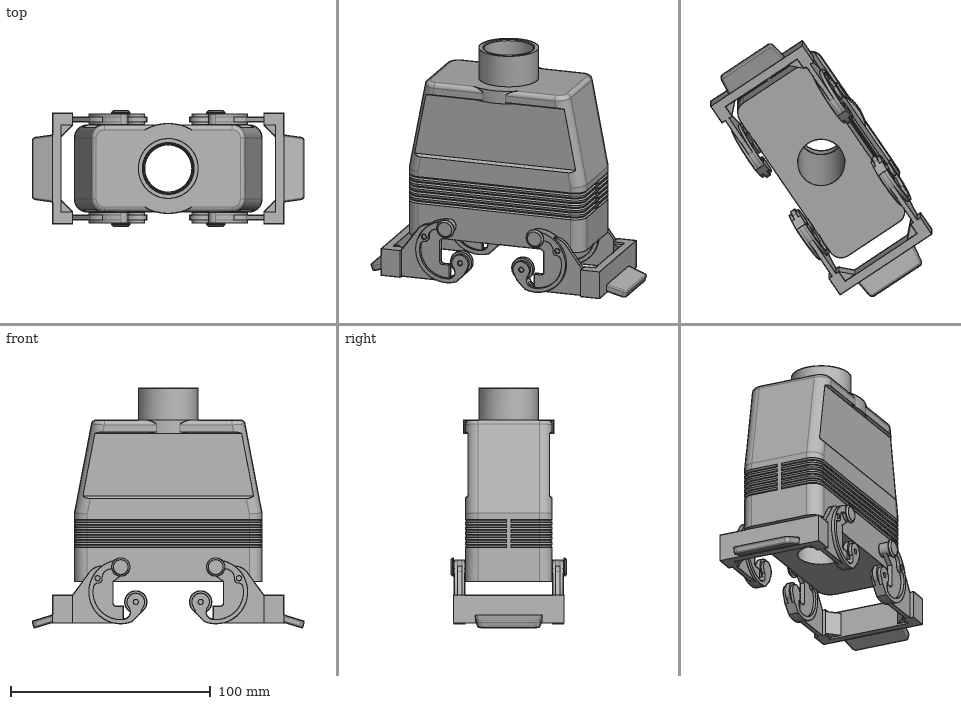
import math

import cadquery as cq

HOOD_HALF_X = 47.0
HOOD_HALF_Y = 21.8
HOOD_TOP_Z = 81.0
SHOULDER_Z = 34.5
TOP_HALF_X = 38.1
CORNER_RADIUS = 6.4
TOP_EDGE_RADIUS = 2.4

PANEL_HALF_Y = 20.5
PANEL_BOTTOM_Z = 43.0
PANEL_TOP_Z = 74.4
PANEL_TOP_SLOPE_HEIGHT = 0.7

PAD_RADIUS = 22.6
ENTRY_RADIUS = 15.0
ENTRY_TOP_Z = 97.0
BORE_RADIUS = 12.5
THROUGH_RADIUS = 11.8
BORE_FLOOR_Z = 85.4
BORE_CONE_HEIGHT = 2.7
BORE_CHAMFER = 0.5

GROOVE_COUNT = 6
GROOVE_PITCH = 2.5
GROOVE_WIDTH = 1.6
GROOVE_DEPTH = GROOVE_WIDTH / 2
LOWEST_GROOVE_Z = 17.95
CHAMFER_CLEARANCE = 0.01
GROOVE_GAP_HALF_Y = 1.25

PIVOT = (-23.8, 7.35)
PIVOT_RADIUS = 3.55
CAM_RADIUS = 16.0
CAM_CENTER = (PIVOT[0], PIVOT[1] + PIVOT_RADIUS - CAM_RADIUS)
RIM_INNER_RADIUS = 13.9
HOOK = (-16.25, -10.15)
HOOK_RADIUS = 5.6
HOOK_RIM_RADIUS = 4.4
HOOK_FLANK_ANGLE = -45.0
PLATE_INNER_Y = 23.35
PLATE_OUTER_Y = 25.7
RIM_INNER_Y = 22.0
RIM_OUTER_Y = 27.4
WINDOW_LEFT_X = -27.6
WINDOW_FLOOR_Z = -12.25
WINDOW_CORNER_RADIUS = 1.4
SLOT_LEFT_X = -22.55
SLOT_BOTTOM_Z = -18.5
DIMPLE_RADIUS = 1.3
DIMPLE_DEPTH = 1.0
UPPER_DIMPLE = (-35.4, 1.75)
SHOULDER_START = (-39.2, 5.2)
SHOULDER_MID = (-37.0, 6.9)
CAM_START_ANGLE = 125.0
NECK_ANGLE = -54.0
SLOT_SIDE = (-19.5, -17.0)
SLOT_TIP_ANGLE = -119.0
HOOK_RIM_START_ANGLE = -25.0
HOOK_RIM_END_ANGLE = 225.0
RIM_FLANK_SETBACK = 0.3
RIM_INNER_END_ANGLE = 172.0
BEND_INTO_LOBE = ((-36.9, -1.5), (-35.2, -0.6))
DIMPLE_LOBE = ((-33.7, -0.1), (-33.1, 1.2))
BEND_TO_PIVOT = ((-31.9, 5.0), (-28.7, 6.4))

RIVET_HEAD_RADIUS = 4.6
RIVET_HEAD_CHAMFER = 0.9
RIVET_HEAD_INNER_Y = 27.8
RIVET_OUTER_Y = 29.0
RIVET_SHANK_RADIUS = 2.75
RIVET_EMBED = 2.0

BRACKET_OUTER_X = -58.0
BRACKET_INNER_X = -47.9
BRACKET_HALF_Y = 27.7
BRACKET_TOP_Z = -6.7
BRACKET_BOTTOM_Z = -20.75
BAR_THICKNESS = 4.3
BAR_INNER_X = BRACKET_OUTER_X + BAR_THICKNESS
ARM_THICKNESS = 6.0
GUSSET_SETBACK = 1.0
TAB_TIP_X = -68.145
TAB_BOTTOM_Z = -23.08
TAB_TILT = 17.0
TAB_THICKNESS = 3.6
TAB_LENGTH = 12.0
TAB_ROOT_END_X = BRACKET_OUTER_X + BAR_THICKNESS / 2
TAB_ROOT_HALF_Y = 17.0
TAB_TIP_HALF_Y = 15.4
TAB_CORNER_RADIUS = 2.0
TAB_EDGE_RADIUS = 0.7


def polar(center, radius, degrees):
    angle = math.radians(degrees)
    return (center[0] + radius * math.cos(angle), center[1] + radius * math.sin(angle))


def direction(center, point):
    return math.degrees(math.atan2(point[1] - center[1], point[0] - center[0]))


def extrude_y(profile, y_inner, y_outer):
    """Extrude an XZ profile between two distances from the XZ plane, on the -Y side."""
    return profile.extrude(y_outer - y_inner).translate((0, -y_inner, 0))


def cylinder_y(center, radius, y_inner, y_outer):
    return extrude_y(cq.Workplane("XZ").center(*center).circle(radius), y_inner, y_outer)


def hood_body():
    outline = [
        (-HOOD_HALF_X, 0),
        (HOOD_HALF_X, 0),
        (HOOD_HALF_X, SHOULDER_Z),
        (TOP_HALF_X, HOOD_TOP_Z),
        (-TOP_HALF_X, HOOD_TOP_Z),
        (-HOOD_HALF_X, SHOULDER_Z),
    ]
    body = cq.Workplane("XZ").polyline(outline).close().extrude(HOOD_HALF_Y, both=True)
    corners = body.faces("<Y or >Y").edges("not #Z")
    body = corners.edges("not |X").fillet(CORNER_RADIUS)
    return body.faces(">Z").edges().fillet(TOP_EDGE_RADIUS)


def panel_recess():
    """Cutter for the -Y panel, with a narrow ledge above the flat and a 45 degree slope below."""
    depth = HOOD_HALF_Y - PANEL_HALF_Y
    slope_top_z = PANEL_TOP_Z + PANEL_TOP_SLOPE_HEIGHT
    slope_bottom_z = PANEL_BOTTOM_Z - depth
    profile = [
        (-PANEL_HALF_Y, PANEL_BOTTOM_Z),
        (-HOOD_HALF_Y, slope_bottom_z),
        (-HOOD_HALF_Y - depth, slope_bottom_z),
        (-HOOD_HALF_Y - depth, slope_top_z),
        (-HOOD_HALF_Y, slope_top_z),
        (-PANEL_HALF_Y, PANEL_TOP_Z),
    ]
    return cq.Workplane("YZ").polyline(profile).close().extrude(HOOD_HALF_X, both=True)


def hood_section(z):
    """Solid block with the hood's rounded plan, one groove depth high, standing on height z."""
    plan = cq.Workplane("XY", origin=(0, 0, z)).rect(2 * HOOD_HALF_X, 2 * HOOD_HALF_Y)
    return plan.extrude(GROOVE_DEPTH).edges("|Z").fillet(CORNER_RADIUS)


def groove(z_center):
    """V groove cutter: the hood's rounded plan minus a core with its waist at mid-height."""
    upper = hood_section(z_center)
    upper_core = upper.faces("<Z").chamfer(GROOVE_DEPTH - CHAMFER_CLEARANCE)
    ring = upper.cut(upper_core)
    ring = ring.union(ring.mirror("XY", (0, 0, z_center)))
    gap = cq.Workplane("XY").box(2 * HOOD_HALF_X, 2 * GROOVE_GAP_HALF_Y, GROOVE_WIDTH)
    return ring.cut(gap.translate((0, 0, z_center)))


def cable_bore():
    cone_bottom_z = BORE_FLOOR_Z - BORE_CONE_HEIGHT
    half_section = [
        (0, 0),
        (THROUGH_RADIUS, 0),
        (THROUGH_RADIUS, cone_bottom_z),
        (BORE_RADIUS, BORE_FLOOR_Z),
        (BORE_RADIUS, ENTRY_TOP_Z - BORE_CHAMFER),
        (BORE_RADIUS + BORE_CHAMFER, ENTRY_TOP_Z),
        (0, ENTRY_TOP_Z),
    ]
    return cq.Workplane("XZ").polyline(half_section).close().revolve(360, (0, 0), (0, 1))


def make_hood():
    hood = hood_body()
    recess = panel_recess()
    hood = hood.cut(recess).cut(recess.mirror("XZ"))
    for index in range(GROOVE_COUNT):
        hood = hood.cut(groove(LOWEST_GROOVE_Z + index * GROOVE_PITCH))
    pad = cq.Workplane("XY", origin=(0, 0, PANEL_TOP_Z)).circle(PAD_RADIUS)
    entry = cq.Workplane("XY", origin=(0, 0, PANEL_TOP_Z)).circle(ENTRY_RADIUS)
    hood = hood.union(pad.extrude(HOOD_TOP_Z - PANEL_TOP_Z))
    hood = hood.union(entry.extrude(ENTRY_TOP_Z - PANEL_TOP_Z))
    return hood.cut(cable_bore())


PIVOT_TOP = polar(PIVOT, PIVOT_RADIUS, 90)
CAM_BOTTOM = polar(CAM_CENTER, CAM_RADIUS, -90)
FLANK_TOP = polar(HOOK, HOOK_RADIUS, HOOK_FLANK_ANGLE)
FLANK_NORMAL = polar((0, 0), 1, HOOK_FLANK_ANGLE)
FLANK_OFFSET = (
    (FLANK_TOP[0] - CAM_CENTER[0]) * FLANK_NORMAL[0]
    + (FLANK_TOP[1] - CAM_CENTER[1]) * FLANK_NORMAL[1]
)
FLANK_BOTTOM_ANGLE = HOOK_FLANK_ANGLE - math.degrees(math.acos(FLANK_OFFSET / CAM_RADIUS))
FLANK_BOTTOM = polar(CAM_CENTER, CAM_RADIUS, FLANK_BOTTOM_ANGLE)
SLOT_START = (SLOT_LEFT_X, SLOT_BOTTOM_Z)
SLOT_TIP = polar(HOOK, HOOK_RADIUS, SLOT_TIP_ANGLE)


def lever_plate():
    cam_start = polar(CAM_CENTER, CAM_RADIUS, CAM_START_ANGLE)
    neck_top = polar(PIVOT, PIVOT_RADIUS, NECK_ANGLE)
    neck_drop = (neck_top[0] - WINDOW_LEFT_X) * math.tan(math.radians(90 + NECK_ANGLE))
    foot_angle = 180 + math.degrees(math.asin((CAM_CENTER[1] - BRACKET_BOTTOM_Z) / CAM_RADIUS))
    foot = polar(CAM_CENTER, CAM_RADIUS, foot_angle)
    window_corner = (WINDOW_LEFT_X + WINDOW_CORNER_RADIUS, WINDOW_FLOOR_Z + WINDOW_CORNER_RADIUS)
    outline = (
        cq.Workplane("XZ")
        .moveTo(BRACKET_INNER_X, BRACKET_TOP_Z)
        .lineTo(*SHOULDER_START)
        .threePointArc(SHOULDER_MID, cam_start)
        .threePointArc(polar(CAM_CENTER, CAM_RADIUS, (CAM_START_ANGLE + 90) / 2), PIVOT_TOP)
        .threePointArc(polar(PIVOT, PIVOT_RADIUS, 0), neck_top)
        .lineTo(WINDOW_LEFT_X, neck_top[1] - neck_drop)
        .lineTo(*polar(window_corner, WINDOW_CORNER_RADIUS, 180))
        .threePointArc(
            polar(window_corner, WINDOW_CORNER_RADIUS, 225),
            polar(window_corner, WINDOW_CORNER_RADIUS, 270),
        )
        .lineTo(SLOT_LEFT_X, WINDOW_FLOOR_Z)
        .lineTo(*SLOT_START)
        .threePointArc(SLOT_SIDE, SLOT_TIP)
        .threePointArc(polar(HOOK, HOOK_RADIUS, 90), FLANK_TOP)
        .lineTo(*FLANK_BOTTOM)
        .threePointArc(CAM_BOTTOM, foot)
        .lineTo(BRACKET_INNER_X, BRACKET_BOTTOM_Z)
        .close()
    )
    return extrude_y(outline, PLATE_INNER_Y, PLATE_OUTER_Y)


def lever_rim():
    """Raised crescent that follows the cam edge from the pivot to the hook."""
    hook_start = polar(HOOK, HOOK_RIM_RADIUS, HOOK_RIM_START_ANGLE)
    hook_end = polar(HOOK, HOOK_RIM_RADIUS, HOOK_RIM_END_ANGLE)
    flank_end = (
        FLANK_TOP[0] + RIM_FLANK_SETBACK * (FLANK_BOTTOM[0] - FLANK_TOP[0]),
        FLANK_TOP[1] + RIM_FLANK_SETBACK * (FLANK_BOTTOM[1] - FLANK_TOP[1]),
    )
    inner_start = polar(CAM_CENTER, RIM_INNER_RADIUS, direction(CAM_CENTER, SLOT_START))
    inner_end = polar(CAM_CENTER, RIM_INNER_RADIUS, RIM_INNER_END_ANGLE)
    outline = (
        cq.Workplane("XZ")
        .moveTo(*PIVOT_TOP)
        .threePointArc(polar(CAM_CENTER, CAM_RADIUS, 180), CAM_BOTTOM)
        .threePointArc(polar(CAM_CENTER, CAM_RADIUS, (FLANK_BOTTOM_ANGLE - 90) / 2), FLANK_BOTTOM)
        .lineTo(*flank_end)
        .lineTo(*hook_start)
        .threePointArc(polar(HOOK, HOOK_RIM_RADIUS, 90), hook_end)
        .lineTo(*SLOT_TIP)
        .threePointArc(SLOT_SIDE, inner_start)
        .threePointArc(polar(CAM_CENTER, RIM_INNER_RADIUS, 225), inner_end)
        .threePointArc(*BEND_INTO_LOBE)
        .threePointArc(*DIMPLE_LOBE)
        .threePointArc(*BEND_TO_PIVOT)
        .lineTo(*PIVOT)
        .close()
    )
    rim = extrude_y(outline, RIM_INNER_Y, RIM_OUTER_Y)
    return rim.union(cylinder_y(PIVOT, PIVOT_RADIUS, RIM_INNER_Y, RIM_OUTER_Y))


def rivet():
    shank = cylinder_y(PIVOT, RIVET_SHANK_RADIUS, HOOD_HALF_Y - RIVET_EMBED, RIVET_OUTER_Y)
    head = cylinder_y(PIVOT, RIVET_HEAD_RADIUS, RIVET_HEAD_INNER_Y, RIVET_OUTER_Y)
    return shank.union(head.faces("<Y").chamfer(RIVET_HEAD_CHAMFER))


def lever_side():
    side = lever_plate().union(lever_rim())
    for spot in (UPPER_DIMPLE, HOOK):
        side = side.cut(cylinder_y(spot, DIMPLE_RADIUS, RIM_OUTER_Y - DIMPLE_DEPTH, RIM_OUTER_Y))
    return side.union(rivet())


def gusset():
    arm_y = ARM_THICKNESS - BRACKET_HALF_Y
    reach = BRACKET_INNER_X - BAR_INNER_X
    corners = [(BAR_INNER_X, arm_y), (BAR_INNER_X + reach, arm_y), (BAR_INNER_X, arm_y + reach)]
    height = BRACKET_TOP_Z - BRACKET_BOTTOM_Z - 2 * GUSSET_SETBACK
    plane = cq.Workplane("XY", origin=(0, 0, BRACKET_BOTTOM_Z + GUSSET_SETBACK))
    return plane.polyline(corners).close().extrude(height)


def lever_bracket():
    arm_y = BRACKET_HALF_Y - ARM_THICKNESS
    outline = [
        (BRACKET_OUTER_X, -BRACKET_HALF_Y),
        (BRACKET_INNER_X, -BRACKET_HALF_Y),
        (BRACKET_INNER_X, -arm_y),
        (BAR_INNER_X, -arm_y),
        (BAR_INNER_X, arm_y),
        (BRACKET_INNER_X, arm_y),
        (BRACKET_INNER_X, BRACKET_HALF_Y),
        (BRACKET_OUTER_X, BRACKET_HALF_Y),
    ]
    plane = cq.Workplane("XY", origin=(0, 0, BRACKET_BOTTOM_Z))
    bracket = plane.polyline(outline).close().extrude(BRACKET_TOP_Z - BRACKET_BOTTOM_Z)
    return bracket.union(gusset()).union(gusset().mirror("XZ"))


def finger_tab():
    """Tapered tab with rounded edges, drooping from the bracket's outer face."""
    outline = [
        (0, -TAB_TIP_HALF_Y),
        (TAB_LENGTH, -TAB_ROOT_HALF_Y),
        (TAB_LENGTH, TAB_ROOT_HALF_Y),
        (0, TAB_TIP_HALF_Y),
    ]
    tab = cq.Workplane("XY").polyline(outline).close().extrude(TAB_THICKNESS)
    tab = tab.edges("|Z and <X").fillet(TAB_CORNER_RADIUS)
    tab = tab.faces("<Z or >Z").edges("not >X").fillet(TAB_EDGE_RADIUS)
    tab = tab.rotate((0, 0, 0), (0, 1, 0), -TAB_TILT)
    bounds = tab.val().BoundingBox()
    tab = tab.translate((TAB_TIP_X - bounds.xmin, 0, TAB_BOTTOM_Z - bounds.zmin))
    beyond_bar = cq.Workplane("XY", origin=(TAB_ROOT_END_X, 0, TAB_BOTTOM_Z)).box(
        TAB_LENGTH, 2 * BRACKET_HALF_Y, 2 * TAB_LENGTH, centered=(False, True, True)
    )
    return tab.cut(beyond_bar)


def make_lever():
    side = lever_side()
    return side.union(side.mirror("XZ")).union(lever_bracket()).union(finger_tab())


lever = make_lever()
result = make_hood().union(lever).union(lever.mirror("YZ"))